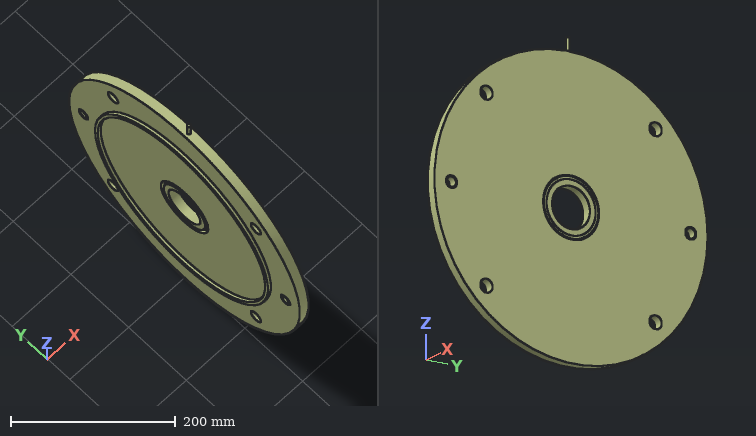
import cadquery as cq
import math

plate_diameter = 400.0
plate_thickness = 15.0
plate_bore = 82.0

lip_outer_diameter = 300.0
lip_inner_diameter = 290.0
lip_height = 5.0

pitch_radius = 175.0
bolt_hole_diameter = 17.5
bolt_hole_angles = [45, 135, 225, 315]
bushing_outer_diameter = 16.0
bushing_inner_diameter = 13.5
bushing_angles = [0, 180]

hub_outer_diameter = 79.8
hub_joint_diameter = 72.0
hub_bore = 55.0
hub_front = -plate_thickness
rim_recess = 5.0

lead_diameter = 5.0
overall_height = 420.0
lead_depth = 8.5
plate_radius = plate_diameter / 2
lead_length = overall_height - plate_diameter + lead_depth


def disc(diameter, start_x, end_x, y=0, z=0):
    """Solid cylinder along X between two X positions."""
    return cq.Workplane("YZ", origin=(start_x, y, z)).circle(diameter / 2).extrude(end_x - start_x)


def ring(outer_diameter, inner_diameter, start_x, end_x, y=0, z=0):
    """Hollow cylinder along X between two X positions."""
    return disc(outer_diameter, start_x, end_x, y, z).cut(disc(inner_diameter, start_x, end_x, y, z))


def pitch_point(angle):
    """Y and Z of a point on the pitch circle."""
    radians = math.radians(angle)
    return pitch_radius * math.cos(radians), pitch_radius * math.sin(radians)


def make_lead():
    base = cq.Workplane("XY", origin=(-plate_thickness / 2, 0, plate_radius - lead_depth))
    return base.circle(lead_diameter / 2).extrude(lead_length)


def make_plate(lead):
    plate = ring(plate_diameter, plate_bore, -plate_thickness, 0)
    lip_front = -plate_thickness - lip_height
    plate = plate.union(ring(lip_outer_diameter, lip_inner_diameter, lip_front, -plate_thickness))
    for angle in bolt_hole_angles:
        plate = plate.cut(disc(bolt_hole_diameter, -plate_thickness, 0, *pitch_point(angle)))
    for angle in bushing_angles:
        plate = plate.cut(disc(bushing_outer_diameter, -plate_thickness, 0, *pitch_point(angle)))
    return plate.cut(lead)


def make_bushing(angle):
    return ring(bushing_outer_diameter, bushing_inner_diameter, -plate_thickness, 0, *pitch_point(angle))


lead = make_lead()
plate = make_plate(lead)
bushings = [make_bushing(angle) for angle in bushing_angles]
hub_rim = ring(hub_outer_diameter, hub_joint_diameter, hub_front + rim_recess, 0)
hub_sleeve = ring(hub_joint_diameter, hub_bore, hub_front, 0)

result = cq.Compound.makeCompound([
    plate.val(),
    *[bushing.val() for bushing in bushings],
    hub_rim.val(),
    hub_sleeve.val(),
    lead.val(),
])